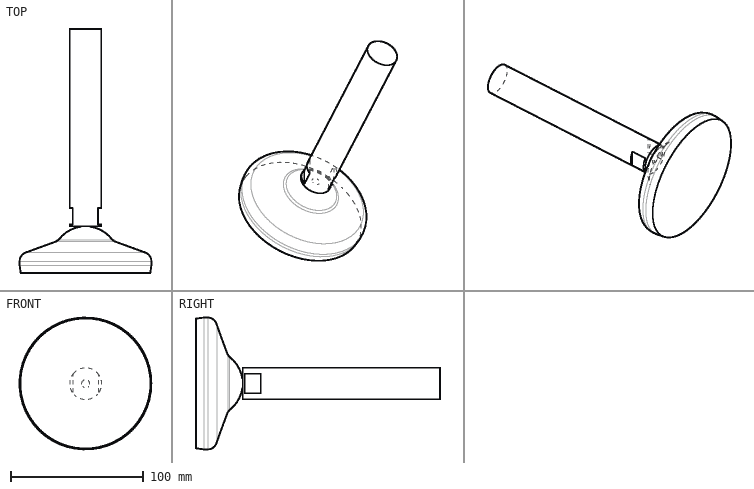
import cadquery as cq
import math

total_length = 185.0
foot_radius = 50.05

sole_radius = 49.2
pad_height = 6.1
rim_top = 8.9
shoulder_radius = 7.2
cone_slope = math.radians(20)
cone_top_radius = 22.2

dome_edge_radius = 20.4
dome_edge_height = 25.3
dome_top = 35.5

stem_radius = 12.0
stem_bottom = 35.3
flat_bottom = 37.0
flat_top = 49.2
across_flats = 19.2


def make_foot():
    """Revolve the foot profile, drawn as (radius, height), around the Y axis."""
    centre_radius = foot_radius - shoulder_radius

    def shoulder_point(angle):
        return (
            centre_radius + shoulder_radius * math.cos(angle),
            rim_top + shoulder_radius * math.sin(angle),
        )

    shoulder_angle = math.pi / 2 - cone_slope
    cone_start = shoulder_point(shoulder_angle)
    cone_top = cone_start[1] + (cone_start[0] - cone_top_radius) * math.tan(cone_slope)

    dome_rise = dome_top - dome_edge_height
    dome_radius = (dome_edge_radius**2 + dome_rise**2) / (2 * dome_rise)
    half_angle = math.asin(dome_edge_radius / dome_radius) / 2
    dome_middle = (
        dome_radius * math.sin(half_angle),
        dome_top - dome_radius * (1 - math.cos(half_angle)),
    )

    profile = (
        cq.Workplane("XY")
        .lineTo(sole_radius, 0)
        .lineTo(foot_radius, pad_height)
        .lineTo(foot_radius, rim_top)
        .threePointArc(shoulder_point(shoulder_angle / 2), cone_start)
        .lineTo(cone_top_radius, cone_top)
        .lineTo(dome_edge_radius, dome_edge_height)
        .threePointArc(dome_middle, (0, dome_top))
        .close()
    )
    return profile.revolve(360, (0, 0, 0), (0, 1, 0))


def make_stem():
    """Cylinder along Y with a wrench flat on the -X and +X sides."""
    stem_length = total_length - stem_bottom
    stem = (
        cq.Workplane("XZ", origin=(0, stem_bottom, 0))
        .circle(stem_radius)
        .extrude(-stem_length)
    )
    flat_length = flat_top - flat_bottom
    flat_middle = (flat_top + flat_bottom) / 2
    cutter_depth = stem_radius
    for side in (-1, 1):
        cutter_x = side * (across_flats + cutter_depth) / 2
        cutter = cq.Workplane("XY").box(cutter_depth, flat_length, 2 * stem_radius)
        stem = stem.cut(cutter.translate((cutter_x, flat_middle, 0)))
    return stem


foot = make_foot()
stem = make_stem()

result = foot.union(stem).translate((0, -total_length / 2, 0))